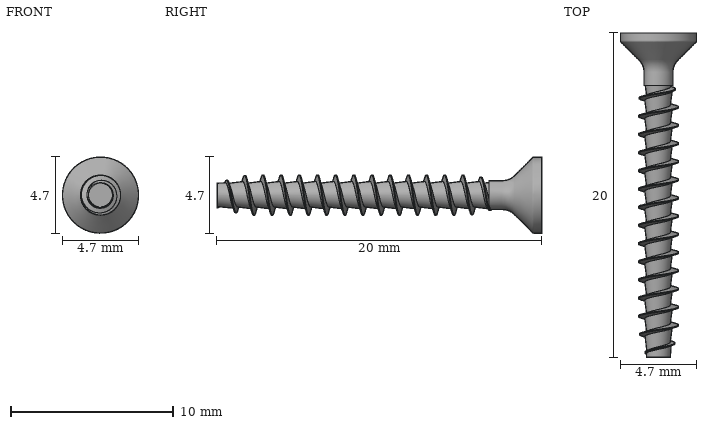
import cadquery as cq
import math


length = 20.0

head_diameter = 4.7
head_radius = head_diameter / 2
rim_height = 0.55
rim_edge_radius = 0.1
cone_half_angle = math.radians(45)
neck_radius = 0.9
neck_fillet = 1.0
neck_end_depth = 3.25

pitch = 1.12
crest_radius = 1.25
crest_width = 0.05
wide_foot_diameter = 1.7
narrow_foot_diameter = 1.48
wide_foot_radius = wide_foot_diameter / 2
narrow_foot_radius = narrow_foot_diameter / 2
foot_width = 0.28
crossing_height = 0.85

tip_radius = 0.72
tip_foot_width = 0.1
tip_runout_end = 1.6
neck_runout_start = 15.85
neck_runout_end = 17.15
faded_crest_clearance = 0.01

pieces_per_turn = 2
pieces_below_crossing = 4
pieces_above_crossing = 32


def head_and_neck():
    """Countersunk head and plain neck as one turned solid."""
    rim_base = length - rim_height
    fillet_radial = neck_fillet * (1 - math.cos(cone_half_angle))
    fillet_axial = neck_fillet * math.sin(cone_half_angle)
    cone_end_radius = neck_radius + fillet_radial
    cone_end = rim_base - (head_radius - cone_end_radius) / math.tan(cone_half_angle)
    fillet_end = cone_end - fillet_axial
    half_angle = cone_half_angle / 2
    fillet_mid = (
        neck_radius + neck_fillet * (1 - math.cos(half_angle)),
        fillet_end + neck_fillet * math.sin(half_angle),
    )
    neck_end = length - neck_end_depth
    turned = (
        cq.Workplane("XZ")
        .moveTo(0, neck_end)
        .lineTo(neck_radius, neck_end)
        .lineTo(neck_radius, fillet_end)
        .threePointArc(fillet_mid, (cone_end_radius, cone_end))
        .lineTo(head_radius, rim_base)
        .lineTo(head_radius, length)
        .lineTo(0, length)
        .close()
        .revolve(360, (0, 0), (0, 1))
    )
    rim_edge = cq.selectors.NearestToPointSelector((0, 0, rim_base))
    return turned.edges("%CIRCLE").edges(rim_edge).fillet(rim_edge_radius)


def station_height(station):
    """Height of the ridge centre after the given number of pieces past the +X crossing."""
    return crossing_height + station * pitch / pieces_per_turn


def blend(start, end, fraction):
    """Value between start and end, held at either one outside the range 0 to 1."""
    return start + (end - start) * min(max(fraction, 0), 1)


def thread_section(station):
    """(radius, height) of the wide foot, both crest edges and the narrow foot."""
    height = station_height(station)
    tip_fade = height / tip_runout_end
    neck_fade = (height - neck_runout_start) / (neck_runout_end - neck_runout_start)
    wide_foot = blend(tip_radius, wide_foot_radius, tip_fade)
    half_foot = blend(tip_foot_width, foot_width, tip_fade) / 2
    narrow_foot = blend(tip_radius, narrow_foot_radius, tip_fade)
    crest_at_tip = blend(tip_radius + faded_crest_clearance, crest_radius, tip_fade)
    crest = blend(crest_at_tip, wide_foot_radius + faded_crest_clearance, neck_fade)
    return [
        (wide_foot, height - half_foot),
        (crest, height - crest_width / 2),
        (crest, height + crest_width / 2),
        (narrow_foot, height + half_foot),
    ]


def helix_edge(station, corner):
    """Right-handed helix of one section corner, from a station to the next one."""
    radius, height = thread_section(station)[corner]
    next_radius, next_height = thread_section(station + 1)[corner]
    rise = next_height - height
    lead = rise * pieces_per_turn
    if next_radius == radius:
        wire = cq.Wire.makeHelix(lead, rise, radius)
    else:
        slope = math.atan2(next_radius - radius, rise)
        stretch = 1 / math.cos(slope)
        wire = cq.Wire.makeHelix(lead * stretch, rise * stretch, radius, angle=math.degrees(slope))
    start_angle = 360 * station / pieces_per_turn
    turned = wire.rotate(cq.Vector(), cq.Vector(0, 0, 1), start_angle)
    return turned.translate(cq.Vector(0, 0, height)).Edges()[0]


def helicoid_end(station, corner):
    """Surface from a corner's helix inward to the screw axis."""
    height = thread_section(station)[corner][1]
    next_height = thread_section(station + 1)[corner][1]
    axis = cq.Edge.makeLine(cq.Vector(0, 0, height), cq.Vector(0, 0, next_height))
    return cq.Face.makeRuledSurface(helix_edge(station, corner), axis)


def end_cap(station, outline, axis_heights):
    """Flat half-plane face closing the thread at a station."""
    angle = 2 * math.pi * station / pieces_per_turn
    corners = [cq.Vector(r * math.cos(angle), r * math.sin(angle), z) for r, z in outline]
    corners += [cq.Vector(0, 0, z) for z in axis_heights]
    return cq.Face.makeFromWires(cq.Wire.makePolygon(corners, close=True))


def thread():
    """Threaded core as one closed shell: ridge flanks, crest and root, with both ends closed."""
    first = -pieces_below_crossing
    last = pieces_above_crossing
    wide, narrow = 0, 3
    faces = []
    for station in range(first, last):
        for corner in range(wide, narrow):
            lower = helix_edge(station, corner)
            upper = helix_edge(station, corner + 1)
            faces.append(cq.Face.makeRuledSurface(lower, upper))
    for station in range(first, last - pieces_per_turn):
        lower = helix_edge(station, narrow)
        upper = helix_edge(station + pieces_per_turn, wide)
        faces.append(cq.Face.makeRuledSurface(lower, upper))

    first_turn = range(first, first + pieces_per_turn)
    last_turn = range(last - pieces_per_turn, last)
    faces += [helicoid_end(station, wide) for station in first_turn]
    faces += [helicoid_end(station, narrow) for station in last_turn]

    bottom_outline = thread_section(first) + [thread_section(first + pieces_per_turn)[wide]]
    bottom_axis = [thread_section(first + n)[wide][1] for n in range(pieces_per_turn, -1, -1)]
    faces.append(end_cap(first, bottom_outline, bottom_axis))
    top_outline = [thread_section(last - pieces_per_turn)[narrow]] + thread_section(last)
    top_axis = [thread_section(last - n)[narrow][1] for n in range(pieces_per_turn + 1)]
    faces.append(end_cap(last, top_outline, top_axis))
    return cq.Workplane(cq.Solid.makeSolid(cq.Shell.makeShell(faces)))


above_tip = cq.Workplane("XY").circle(head_radius).extrude(length)
screw = head_and_neck().union(thread().intersect(above_tip))
result = screw.rotate((0, 0, 0), (1, 0, 0), -90)